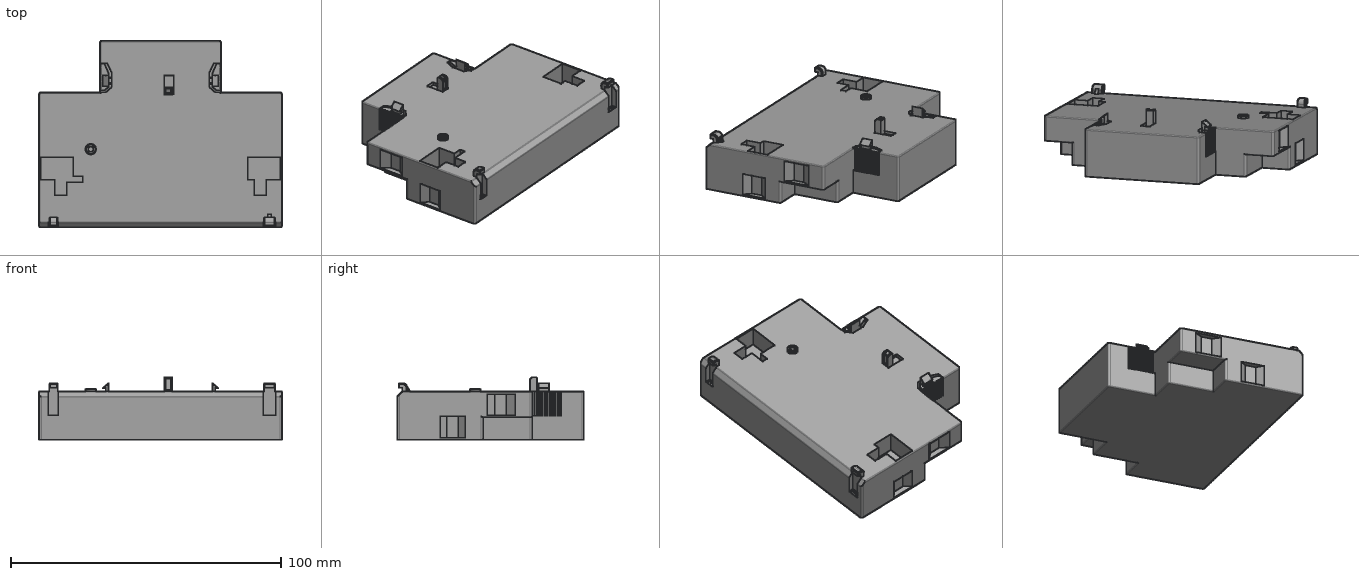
import cadquery as cq
LENGTH = 90.0
DEPTH = 69.2
HEIGHT = 18.0
BLOCK_DEPTH = 50.0
NECK_LEFT = 22.6
CENTER_X = LENGTH / 2
CORNER_RADIUS = 0.8
RIM_RADIUS = 0.4
FRONT_CHAMFER = 1.9

STEP_FRONT = 31.9
STEP_HEIGHT = 8.5
STEP_WIDTH = 10.8

SIDE_RECESS_DEPTH = 2.3
REAR_RECESS = (33.5, 43.7, 9.2, 17.0, 2.8, 3.3)
FRONT_RECESS = (15.9, 25.3, 0.8, 8.8, 2.5, 2.7)

POCKET_DEPTH = 8.0
POCKET_LEFT, POCKET_RIGHT = 0.7, 12.7
POCKET_FRONT, POCKET_BACK = 17.6, 25.9
STEM_LEFT, STEM_RIGHT = 5.85, 10.3
STEM_FRONT = 12.0
TAB_RIGHT = 16.3
TAB_FRONT, TAB_BACK = 16.7, 18.9

CLIP_BACK, CLIP_FRONT = 60.6, 50.85
SLIT_BACK = 60.75
SLIT_BACK_X, SLIT_INNER_X, SLIT_FRONT_X = 25.3, 27.0, 24.75
CLIP_END_X = 24.3
SLIT_STRAIGHT_BACK, CLIP_STRAIGHT_BACK = 57.15, 56.9
STRAIGHT_FRONT = 52.0
SLIT_RIB_MIDDLES = (53.4, 55.4)
SLIT_RIB_WIDTH = 0.5
SLIT_RIB_TOP = 10.8
CLIP_BOTTOM = 9.0
GRIP_BACK = 60.8
GRIP_COUNT = 10
GRIP_PITCH = (GRIP_BACK - CLIP_FRONT) / GRIP_COUNT
GRIP_WIDTH = 0.4
GRIP_DEPTH = 0.4
HOOK_FRONT, HOOK_BACK = 52.3, 56.3
HOOK_TIP_X, HOOK_STEM_X, HOOK_INNER_X = 23.6, 24.7, 25.8
HOOK_TIP_Z, HOOK_UNDERCUT_Z, HOOK_TOP = 19.2, 19.3, 21.1
HOOK_RECESS_DEPTH = 0.9

POST_LEFT, POST_RIGHT = 46.4, 49.3
POST_FRONT, POST_BACK = 49.2, 51.8
POST_TOP = 23.3
POST_FRONT_CHAMFER = 0.8
POST_BACK_CHAMFER = 0.4
CHANNEL_WALL = 0.5
CHANNEL_BOTTOM = 18.5
CHANNEL_BOTTOM_DEPTH = 0.3
CHANNEL_SHOULDER_DEPTH, CHANNEL_SHOULDER_Z = 0.7, 22.6
CHANNEL_TOP_DEPTH = 2.1
SLOT_LEFT, SLOT_RIGHT = 46.35, 49.9
SLOT_FRONT, SLOT_BACK = 49.3, 56.4
SLOT_DEPTH = 1.1
SLOT_BACK_RUN = 0.3

STUD_X, STUD_Y = 19.2, 29.0
STUD_RADIUS = 2.0
STUD_HEIGHT = 1.0
STUD_CHAMFER = 0.3
DIMPLE_RADIUS = 1.0
DIMPLE_DEPTH = 0.5

GROOVE_BOTTOM = 9.2
ARM_FRONT = 1.9
ARM_GAP_FRONT, ARM_GAP_BACK = 1.1, 1.4
ARM_GAP_DEPTH = 0.45
LEFT_GROOVE = (3.5, 7.2)
RIGHT_GROOVE = (83.1, 87.7)
LEFT_HEAD = (3.8, 7.0)
RIGHT_HEAD = (83.25, 87.5)
HEAD_FRONT, HEAD_BACK = 0.5, 3.8
HEAD_UNDERSIDE, HEAD_TOP = 19.3, 21.1
HEAD_BEND_RADIUS = 1.8
HEAD_CHAMFER = 0.4
RIB_LEFT, RIB_RIGHT = 84.7, 85.95
RIB_BACK = 4.9
RIB_TOP = 19.8

OVERLAP = 0.9


def box(x0, x1, y0, y1, z0, z1):
    return cq.Workplane("XY").box(x1 - x0, y1 - y0, z1 - z0, centered=False).translate((x0, y0, z0))


def prism_along_x(points, x0, x1):
    """Extrude a (Y, Z) outline from x0 to x1."""
    return cq.Workplane("YZ").polyline(points).close().extrude(x1 - x0).translate((x0, 0, 0))


def prism_along_y(points, y0, y1):
    """Extrude an (X, Z) outline from y0 to y1."""
    return cq.Workplane("XZ").polyline(points).close().extrude(y0 - y1).translate((0, y0, 0))


def prism_along_z(points, z0, z1):
    """Extrude an (X, Y) outline from z0 to z1."""
    return cq.Workplane("XY").polyline(points).close().extrude(z1 - z0).translate((0, 0, z0))


def mirrored(shape):
    """The same shape on the other side of the middle of the housing."""
    return shape.mirror("YZ", (CENTER_X, 0, 0))


def both_sides(shape):
    return shape.union(mirrored(shape))


def make_housing():
    neck_right = LENGTH - NECK_LEFT
    outline = [
        (0, 0),
        (LENGTH, 0),
        (LENGTH, BLOCK_DEPTH),
        (neck_right, BLOCK_DEPTH),
        (neck_right, DEPTH),
        (NECK_LEFT, DEPTH),
        (NECK_LEFT, BLOCK_DEPTH),
        (0, BLOCK_DEPTH),
    ]
    housing = prism_along_z(outline, 0, HEIGHT)
    step = box(-OVERLAP, STEP_WIDTH, STEP_FRONT, BLOCK_DEPTH + OVERLAP, -OVERLAP, STEP_HEIGHT)
    housing = housing.cut(both_sides(step))

    outer_corners = [(0, 0), (0, BLOCK_DEPTH), (NECK_LEFT, DEPTH), (0, STEP_FRONT), (STEP_WIDTH, BLOCK_DEPTH)]
    for x, y in outer_corners:
        for corner_x in (x, LENGTH - x):
            near_corner = cq.selectors.BoxSelector(
                (corner_x - OVERLAP, y - OVERLAP, -OVERLAP),
                (corner_x + OVERLAP, y + OVERLAP, HEIGHT + OVERLAP),
            )
            housing = housing.edges("|Z").edges(near_corner).fillet(CORNER_RADIUS)

    bevel_outline = [
        (0, 0),
        (DEPTH, 0),
        (DEPTH, HEIGHT),
        (FRONT_CHAMFER, HEIGHT),
        (0, HEIGHT - FRONT_CHAMFER),
    ]
    beveled_block = prism_along_x(bevel_outline, 0, LENGTH)
    beveled_block = beveled_block.faces("<Y").edges(">Z").fillet(RIM_RADIUS)
    housing = housing.intersect(beveled_block)
    housing = housing.faces(">Z or <Z").edges().fillet(RIM_RADIUS)
    wing_undersides = cq.selectors.BoxSelector(
        (-OVERLAP, STEP_FRONT + OVERLAP, STEP_HEIGHT - RIM_RADIUS),
        (LENGTH + OVERLAP, BLOCK_DEPTH + OVERLAP, STEP_HEIGHT + RIM_RADIUS),
    )
    side_edges = housing.edges("|Y and (<X or >X)").edges(wing_undersides)
    return side_edges.fillet(RIM_RADIUS)


def make_side_recess(front, back, bottom, top, front_run, back_run):
    """Recess in the left face whose front and back walls slope in to a flat floor."""
    outline = [
        (0, front),
        (SIDE_RECESS_DEPTH, front + front_run),
        (SIDE_RECESS_DEPTH, back - back_run),
        (0, back),
        (-OVERLAP, back),
        (-OVERLAP, front),
    ]
    return prism_along_z(outline, bottom, top)


def make_tee_pocket():
    floor = HEIGHT - POCKET_DEPTH
    top = HEIGHT + OVERLAP
    main = box(POCKET_LEFT, POCKET_RIGHT, POCKET_FRONT, POCKET_BACK, floor, top)
    stem = box(STEM_LEFT, STEM_RIGHT, STEM_FRONT, POCKET_BACK, floor, top)
    return main.union(stem)


def make_pocket_tab():
    """Sideways arm of the left tee pocket only."""
    return box(STEM_LEFT, TAB_RIGHT, TAB_FRONT, TAB_BACK, HEIGHT - POCKET_DEPTH, HEIGHT + OVERLAP)


def make_clip_slit():
    """Slit around the left clip: a wider outline minus the clip and two low ribs in between."""
    outer = [
        (NECK_LEFT - OVERLAP, SLIT_BACK),
        (SLIT_BACK_X, SLIT_BACK),
        (SLIT_INNER_X, SLIT_STRAIGHT_BACK),
        (SLIT_INNER_X, STRAIGHT_FRONT),
        (SLIT_FRONT_X, BLOCK_DEPTH),
        (NECK_LEFT - OVERLAP, BLOCK_DEPTH),
    ]
    clip = [
        (NECK_LEFT - OVERLAP, CLIP_BACK),
        (CLIP_END_X, CLIP_BACK),
        (HOOK_INNER_X, CLIP_STRAIGHT_BACK),
        (HOOK_INNER_X, STRAIGHT_FRONT),
        (CLIP_END_X, CLIP_FRONT),
        (NECK_LEFT - OVERLAP, CLIP_FRONT),
    ]
    top = HEIGHT + OVERLAP
    slit = prism_along_z(outer, CLIP_BOTTOM, top).cut(prism_along_z(clip, CLIP_BOTTOM, top))
    for middle in SLIT_RIB_MIDDLES:
        rib_front = middle - SLIT_RIB_WIDTH / 2
        rib_back = middle + SLIT_RIB_WIDTH / 2
        slit = slit.cut(box(HOOK_INNER_X, SLIT_INNER_X, rib_front, rib_back, CLIP_BOTTOM, SLIT_RIB_TOP))
    return slit


def make_grip_cutter():
    """Row of narrow upright grooves in the left side of the neck."""
    grooves = cq.Workplane("XY")
    for index in range(GRIP_COUNT):
        back = GRIP_BACK - index * GRIP_PITCH
        groove = box(
            NECK_LEFT - OVERLAP,
            NECK_LEFT + GRIP_DEPTH,
            back - GRIP_WIDTH,
            back,
            CLIP_BOTTOM,
            HEIGHT + OVERLAP,
        )
        grooves = grooves.add(groove)
    return grooves.combine()


def make_hook_recess():
    """Shallow pocket in the clip below the overhanging tip of the hook."""
    return box(
        HOOK_TIP_X,
        HOOK_STEM_X,
        HOOK_FRONT,
        HOOK_BACK,
        HEIGHT - HOOK_RECESS_DEPTH,
        HEIGHT + OVERLAP,
    )


def make_hook():
    outline = [
        (HOOK_INNER_X, HEIGHT - OVERLAP),
        (HOOK_INNER_X, HOOK_TOP),
        (HOOK_TIP_X, HOOK_TIP_Z),
        (HOOK_STEM_X, HOOK_UNDERCUT_Z),
        (HOOK_STEM_X, HEIGHT - OVERLAP),
    ]
    return prism_along_y(outline, HOOK_FRONT, HOOK_BACK)


def make_post_slot():
    """Shallow slot whose back wall slopes."""
    floor = HEIGHT - SLOT_DEPTH
    outline = [
        (SLOT_FRONT, floor),
        (SLOT_BACK - SLOT_BACK_RUN, floor),
        (SLOT_BACK, HEIGHT),
        (SLOT_FRONT, HEIGHT),
    ]
    return prism_along_x(outline, SLOT_LEFT, SLOT_RIGHT)


def make_post():
    base = HEIGHT - SLOT_DEPTH - OVERLAP
    outline = [
        (POST_FRONT, base),
        (POST_FRONT, POST_TOP - POST_FRONT_CHAMFER),
        (POST_FRONT + POST_FRONT_CHAMFER, POST_TOP),
        (POST_BACK - POST_BACK_CHAMFER, POST_TOP),
        (POST_BACK, POST_TOP - POST_BACK_CHAMFER),
        (POST_BACK, base),
    ]
    post = prism_along_x(outline, POST_LEFT, POST_RIGHT)
    channel_outline = [
        (POST_FRONT - OVERLAP, CHANNEL_BOTTOM),
        (POST_FRONT + CHANNEL_BOTTOM_DEPTH, CHANNEL_BOTTOM),
        (POST_FRONT + CHANNEL_SHOULDER_DEPTH, CHANNEL_SHOULDER_Z),
        (POST_FRONT + CHANNEL_TOP_DEPTH, POST_TOP),
        (POST_FRONT - OVERLAP, POST_TOP),
    ]
    channel = prism_along_x(channel_outline, POST_LEFT + CHANNEL_WALL, POST_RIGHT - CHANNEL_WALL)
    return post.cut(channel)


def make_stud():
    stud = cq.Workplane("XY").circle(STUD_RADIUS).extrude(STUD_HEIGHT + OVERLAP)
    stud = stud.faces(">Z").chamfer(STUD_CHAMFER)
    stud = stud.faces(">Z").workplane().circle(DIMPLE_RADIUS).cutBlind(-DIMPLE_DEPTH)
    return stud.translate((STUD_X, STUD_Y, HEIGHT - OVERLAP))


def make_snap_groove(left, right):
    """Upright groove in the front face, with a narrow gap sunk into its floor."""
    groove = box(left, right, -OVERLAP, ARM_FRONT, GROOVE_BOTTOM, HEIGHT + OVERLAP)
    gap_bottom = GROOVE_BOTTOM - ARM_GAP_DEPTH
    gap = box(left, right, ARM_GAP_FRONT, ARM_GAP_BACK, gap_bottom, GROOVE_BOTTOM + OVERLAP)
    return groove.union(gap)


def make_snap_head(left, right):
    base = HEIGHT - OVERLAP
    outline = [
        (ARM_FRONT, base),
        (ARM_FRONT, HEAD_UNDERSIDE),
        (HEAD_FRONT, HEAD_UNDERSIDE),
        (HEAD_FRONT, HEAD_TOP),
        (HEAD_BACK, HEAD_TOP),
        (HEAD_BACK, base),
    ]
    head = prism_along_x(outline, left, right)
    head = head.edges("|X and >Y and >Z").fillet(HEAD_BEND_RADIUS)
    return head.faces("<Y or >Z").edges("not <Z").chamfer(HEAD_CHAMFER)


def make_snap_rib():
    """Gusset behind the right snap head."""
    outline = [
        (HEAD_BACK - OVERLAP, HEIGHT - OVERLAP),
        (RIB_BACK, HEIGHT - OVERLAP),
        (RIB_BACK, HEIGHT),
        (HEAD_BACK, RIB_TOP),
        (HEAD_BACK - OVERLAP, RIB_TOP),
    ]
    return prism_along_x(outline, RIB_LEFT, RIB_RIGHT)


result = make_housing()

for recess in (REAR_RECESS, FRONT_RECESS):
    result = result.cut(both_sides(make_side_recess(*recess)))
result = result.cut(both_sides(make_tee_pocket())).cut(make_pocket_tab())
result = result.cut(both_sides(make_clip_slit())).cut(both_sides(make_grip_cutter()))
result = result.cut(both_sides(make_hook_recess()))
result = result.union(both_sides(make_hook()))
result = result.cut(make_post_slot()).union(make_post()).union(make_stud())

for groove, head in ((LEFT_GROOVE, LEFT_HEAD), (RIGHT_GROOVE, RIGHT_HEAD)):
    result = result.cut(make_snap_groove(*groove)).union(make_snap_head(*head))
result = result.union(make_snap_rib())